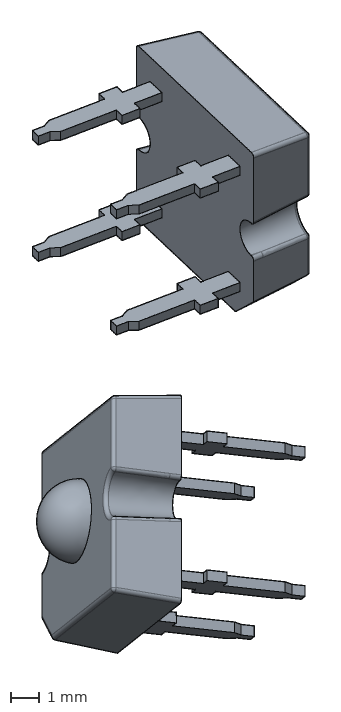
import cadquery as cq
import math

BODY_SIDE = 7.62
BODY_DEPTH = 2.5
BODY_DRAFT = 5.0
CORNER_CUT = 1.18
EDGE_RADIUS = 0.15

NOTCH_RADIUS = 0.7
NOTCH_REACH = 0.89
NOTCH_DRAFT = 3.0

DOME_RADIUS = 1.495
DOME_HEIGHT = 1.4

LEAD_PITCH = 5.08
LEAD_LENGTH = 5.0
LEAD_THICKNESS = 0.39
LEAD_WIDTH = 0.765
STOP_WIDTH = 1.5
STOP_START = 1.14
STOP_LENGTH = 0.75
TIP_WIDTH = 0.39
TIP_LENGTH = 0.49
TAPER_LENGTH = 0.32

HALF_SIDE = BODY_SIDE / 2


def make_notch(side):
    """Tapered groove in the side wall; side is -1 for -X and +1 for +X."""
    arc_centre = side * (HALF_SIDE - NOTCH_REACH + NOTCH_RADIUS)
    mouth = side * (HALF_SIDE + NOTCH_RADIUS)
    return (
        cq.Workplane("XZ")
        .moveTo(mouth, NOTCH_RADIUS)
        .lineTo(arc_centre, NOTCH_RADIUS)
        .threePointArc((arc_centre - side * NOTCH_RADIUS, 0), (arc_centre, -NOTCH_RADIUS))
        .lineTo(mouth, -NOTCH_RADIUS)
        .close()
        .extrude(-BODY_DEPTH, taper=-NOTCH_DRAFT)
    )


def make_body():
    """Drafted block with one cut corner and a notch in each side wall."""
    body = (
        cq.Workplane("XZ")
        .moveTo(-HALF_SIDE, -HALF_SIDE)
        .lineTo(HALF_SIDE - CORNER_CUT, -HALF_SIDE)
        .lineTo(HALF_SIDE, -HALF_SIDE + CORNER_CUT)
        .lineTo(HALF_SIDE, HALF_SIDE)
        .lineTo(-HALF_SIDE, HALF_SIDE)
        .close()
        .extrude(-BODY_DEPTH, taper=BODY_DRAFT)
    )
    for side in (-1, 1):
        body = body.cut(make_notch(side))

    return round_edges(body)


def round_edges(body):
    """Round the square corners, the notch lips and the rim of the dome face in one go."""
    mid_depth = BODY_DEPTH / 2
    wall = HALF_SIDE - mid_depth * math.tan(math.radians(BODY_DRAFT))
    lip = NOTCH_RADIUS + mid_depth * math.tan(math.radians(NOTCH_DRAFT))
    square_corners = [(-wall, -wall), (-wall, wall), (wall, wall)]
    notch_lips = [(x, z) for x in (-wall, wall) for z in (-lip, lip)]

    rounded = body.faces(">Y").edges().vals()
    for x, z in square_corners + notch_lips:
        rounded.append(body.edges(cq.selectors.NearestToPointSelector((x, mid_depth, z))).val())
    return body.newObject(rounded).fillet(EDGE_RADIUS)


def make_dome():
    """Sphere whose centre lies just under the dome face."""
    centre_y = BODY_DEPTH + DOME_HEIGHT - DOME_RADIUS
    return cq.Workplane("XY").sphere(DOME_RADIUS).translate((0, centre_y, 0))


def make_lead():
    """Flat lead along -Y with a stop collar and a narrowed tip."""
    right_side = [
        (LEAD_WIDTH / 2, 0),
        (LEAD_WIDTH / 2, -STOP_START),
        (STOP_WIDTH / 2, -STOP_START),
        (STOP_WIDTH / 2, -STOP_START - STOP_LENGTH),
        (LEAD_WIDTH / 2, -STOP_START - STOP_LENGTH),
        (LEAD_WIDTH / 2, -LEAD_LENGTH + TIP_LENGTH + TAPER_LENGTH),
        (TIP_WIDTH / 2, -LEAD_LENGTH + TIP_LENGTH),
        (TIP_WIDTH / 2, -LEAD_LENGTH),
    ]
    left_side = [(-x, y) for x, y in reversed(right_side)]
    return (
        cq.Workplane("XY")
        .polyline(right_side + left_side)
        .close()
        .extrude(LEAD_THICKNESS / 2, both=True)
    )


result = make_body().union(make_dome())
for x_sign in (-1, 1):
    for z_sign in (-1, 1):
        position = (x_sign * LEAD_PITCH / 2, 0, z_sign * LEAD_PITCH / 2)
        result = result.union(make_lead().translate(position))